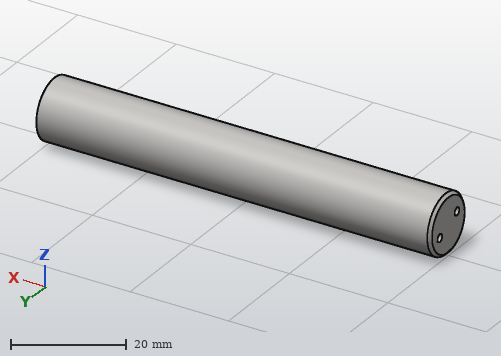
import cadquery as cq
import math

rod_length = 80.0
rod_diameter = 12.0
end_chamfer = 0.6

channel_count = 2
channel_diameter = 1.5
channel_offset = 3.1
channel_start_angle = -25.0
channel_pitch = 288.0
channel_overrun = 0.8
channel_cut_length = rod_length + channel_overrun
channel_twist = 360.0 * channel_cut_length / channel_pitch


def make_rod():
    """Solid rod with a chamfer around the end at X = 0."""
    rod = cq.Workplane("YZ").circle(rod_diameter / 2).extrude(rod_length)
    return rod.faces("<X").edges().chamfer(end_chamfer)


def make_channel(start_angle):
    """Helical channel through the full length of the rod."""
    angle = math.radians(start_angle)
    center_y = channel_offset * math.cos(angle)
    center_z = channel_offset * math.sin(angle)
    profile = cq.Workplane("YZ").moveTo(center_y, center_z).circle(channel_diameter / 2)
    return profile.twistExtrude(channel_cut_length, channel_twist)


result = make_rod()
for index in range(channel_count):
    start_angle = channel_start_angle + index * 360.0 / channel_count
    result = result.cut(make_channel(start_angle))